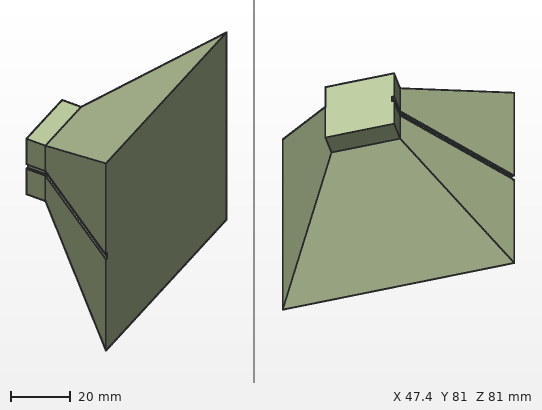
import cadquery as cq
import math

total_length = 47.4
flare_length = 40.0
mouth_size = 81.0
neck_size = 24.0
groove_width = 2.0
groove_depth = 0.8

neck_length = total_length - flare_length
neck_half = neck_size / 2
mouth_half = mouth_size / 2
flare_angle = math.atan2(mouth_half - neck_half, flare_length)


def make_neck():
    """Square block at the narrow end."""
    return cq.Workplane("YZ").rect(neck_size, neck_size).extrude(neck_length)


def make_flare():
    """Square pyramid frustum widening from the neck to the mouth."""
    return (
        cq.Workplane("YZ", origin=(neck_length, 0, 0))
        .rect(neck_size, neck_size)
        .workplane(offset=flare_length)
        .rect(mouth_size, mouth_size)
        .loft(ruled=True)
    )


def make_groove_prism(points):
    """Extrude an XY outline to the groove width, centred on Z = 0."""
    return cq.Workplane("XY").polyline(points).close().extrude(groove_width / 2, both=True)


def make_neck_groove():
    """Cutter for the groove in the neck's -Y wall, ending square where the flare begins."""
    floor_y = -neck_half + groove_depth
    return make_groove_prism([
        (0, -neck_half),
        (0, floor_y),
        (neck_length, floor_y),
        (neck_length, -neck_half),
    ])


def make_flare_groove():
    """Cutter for the groove in the flare's -Y wall.

    Its floor is parallel to the wall and its inner end is square to it, which leaves
    a thin ridge between this groove and the neck groove.
    """
    floor_start_x = neck_length + groove_depth * math.sin(flare_angle)
    floor_start_y = -neck_half + groove_depth * math.cos(flare_angle)
    floor_mouth_y = -mouth_half + groove_depth / math.cos(flare_angle)
    return make_groove_prism([
        (neck_length, -neck_half),
        (floor_start_x, floor_start_y),
        (total_length, floor_mouth_y),
        (total_length, -mouth_half),
    ])


body = make_neck().union(make_flare())
result = body.cut(make_neck_groove()).cut(make_flare_groove())